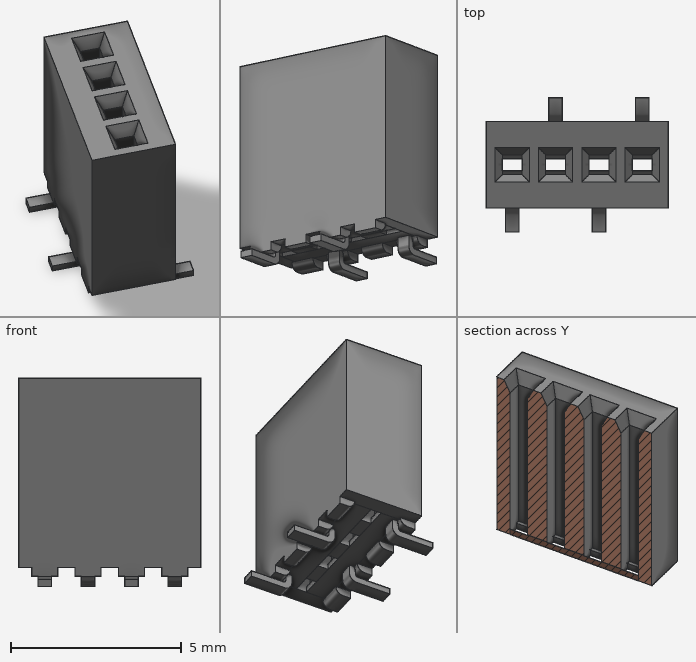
import cadquery as cq

total_height = 6.1
housing_length = 5.33
housing_width = 2.54
foot_span = 3.94

position_count = 4
pitch = 1.27

seat_height = 0.55
pad_clearance = 0.3
pad_length = 0.77
pad_inner_offset = 0.77

funnel_size = 1.0
socket_size = 0.58
funnel_depth = 0.4

metal_thickness = 0.2
lead_width = 0.4
leg_inner_offset = 0.61
bend_inner_radius = 0.1
bend_outer_radius = 0.25
strip_gap = 0.34

pad_round = seat_height - pad_clearance
leg_outer_offset = leg_inner_offset + metal_thickness
strip_inner_offset = strip_gap / 2
strip_length = (position_count - 1) * pitch + socket_size
strip_top = seat_height + metal_thickness
bend_inner_top = metal_thickness + bend_inner_radius
foot_tip = foot_span / 2
side_face = housing_width / 2
positions = [(index - (position_count - 1) / 2) * pitch for index in range(position_count)]


def turned(body):
    """The body rotated half a turn about the vertical axis."""
    return body.rotate((0, 0, 0), (0, 0, 1), 180)


def extruded_along_x(profile, length, x_center):
    """A closed YZ profile extruded symmetrically about the given X position."""
    return profile.extrude(length / 2, both=True).translate((x_center, 0, 0))


def make_pad(x_center):
    """Standoff pad on the -Y side, with its inner edge rounded over its full height."""
    profile = (
        cq.Workplane("YZ")
        .moveTo(-side_face, seat_height)
        .lineTo(-side_face, pad_clearance)
        .lineTo(-pad_inner_offset - pad_round, pad_clearance)
        .radiusArc((-pad_inner_offset, seat_height), -pad_round)
        .close()
    )
    return extruded_along_x(profile, pad_length, x_center)


def make_socket(x_center):
    """Square through-hole with a tapered lead-in at the top."""
    shaft = (
        cq.Workplane("XY", origin=(x_center, 0, seat_height))
        .rect(socket_size, socket_size)
        .extrude(total_height - seat_height)
    )
    funnel = (
        cq.Workplane("XY", origin=(x_center, 0, total_height))
        .rect(funnel_size, funnel_size)
        .workplane(offset=-funnel_depth)
        .rect(socket_size, socket_size)
        .loft()
    )
    return shaft.union(funnel)


def make_lead(x_center):
    """Leg and foot on the -Y side, joined by a round bend standing on Z = 0."""
    profile = (
        cq.Workplane("YZ")
        .moveTo(-leg_inner_offset, strip_top)
        .lineTo(-leg_inner_offset, bend_outer_radius)
        .radiusArc((-leg_inner_offset - bend_outer_radius, 0), bend_outer_radius)
        .lineTo(-foot_tip, 0)
        .lineTo(-foot_tip, metal_thickness)
        .lineTo(-leg_outer_offset - bend_inner_radius, metal_thickness)
        .radiusArc((-leg_outer_offset, bend_inner_top), -bend_inner_radius)
        .lineTo(-leg_outer_offset, strip_top)
        .close()
    )
    return extruded_along_x(profile, lead_width, x_center)


def make_terminal():
    """Flat strip along the -Y side of every socket, with a lead at every other position."""
    terminal = cq.Workplane("XY").box(
        strip_length,
        leg_outer_offset - strip_inner_offset,
        metal_thickness,
        centered=(True, False, False),
    ).translate((0, -leg_outer_offset, seat_height))
    for x_center in positions[::2]:
        terminal = terminal.union(make_lead(x_center))
    return terminal


def make_housing(terminals):
    """Block with pads and sockets, recessed where the terminals sit."""
    housing = (
        cq.Workplane("XY", origin=(0, 0, seat_height))
        .rect(housing_length, housing_width)
        .extrude(total_height - seat_height)
    )
    for x_center in positions:
        pad = make_pad(x_center)
        housing = housing.union(pad).union(turned(pad))
        housing = housing.cut(make_socket(x_center))
    for terminal in terminals:
        housing = housing.cut(terminal)
    return housing


front_terminal = make_terminal()
terminals = [front_terminal, turned(front_terminal)]
housing = make_housing(terminals)

result = cq.Compound.makeCompound([housing.val(), *[terminal.val() for terminal in terminals]])